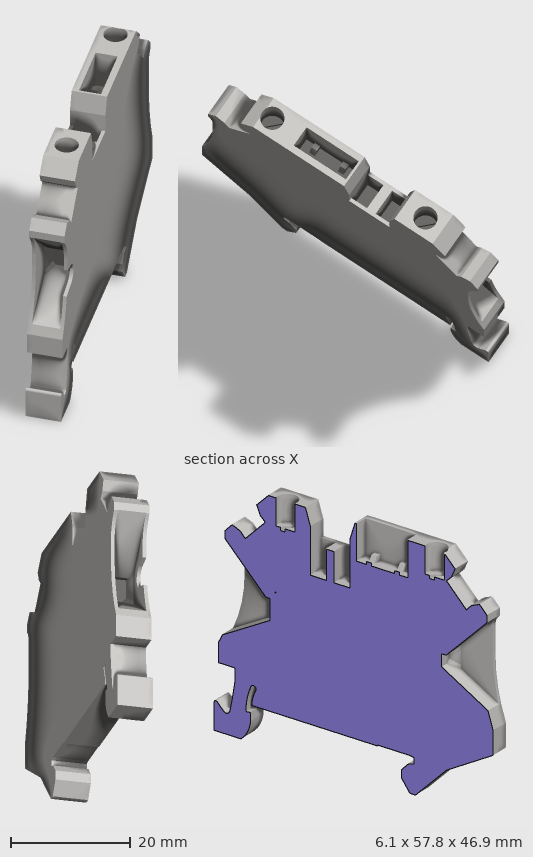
import cadquery as cq
import math


WIDTH = 6.1
HALF_WIDTH = WIDTH / 2
HALF_HEIGHT = 46.9 / 2
TOP = HALF_HEIGHT
BOTTOM = -HALF_HEIGHT
REAR_Y = 28.9
FRONT_Y = -28.9
UPPER_CENTRE_Y = 0.45

HEAD_HALF_LENGTH = 18.1
BRIDGE_FRONT_Y = -8.9
BRIDGE_REAR_Y = -0.8
BRIDGE_FLOOR_Z = 16.95
BRIDGE_FLARE_Z = 20.2
BRIDGE_FLARE_RUN = 1.05
LIP_REACH = 27.15
LIP_UNDERSIDE_Z = 12.8
FLANK_ARC_TOP_Z = 5.55
REAR_FLANK_Y = 26.7
FRONT_FLANK_Y = -24.75
FRONT_SHOULDER_Y = -28.0
SHOULDER_Z = -6.75
FRONT_LEDGE_Z = -10.65

RAIL_Z = -16.6
ARM_OUTER_Y = -24.55
HOOK_INNER_Y = -21.25

WALL = 0.65
CAVITY_HALF_WIDTH = HALF_WIDTH - WALL
SCREW_YS = (16.75, -14.1)
SCREW_HOLE_DIAMETER = 4.05
SCREW_HOLE_DEPTH = 5.2
SCREW_SLOT_WIDTH = 0.65
SCREW_SLOT_DEPTH = 0.6
SCREW_SLOT_ANGLE = -45

TEST_POCKET_REAR_Y = 11.15
TEST_POCKET_FRONT_Y = 0.65
TEST_POCKET_WIDTH = 3.8
TEST_POCKET_DEPTH = 6.95
CONTACT_YS = (8.95, 3.2)
CONTACT_LENGTH = 1.1
CONTACT_HEIGHT = 1.15
CONTACT_GAP = 0.5
CONTACT_SLOPE_RUN = 0.7

BRIDGE_POCKET_LENGTH = 3.2
BRIDGE_POCKET_DEPTH = 5.8

ENTRY_CEILING_Z = 12.85
THROAT_START = 19.6
THROAT_END = 17.8
THROAT_ROOF_Z = 4.35
THROAT_HALF_WIDTH = 1.55
THROAT_CORNER_RISE = 0.7
THROAT_START_CORNER = 0.1
THROAT_END_CORNER = 0.7
ENTRY_FLOOR_SLOPE = 0.56
FRONT_ENTRY_EDGE = (-27.2, -5.2)
REAR_ENTRY_EDGE = (28.0, -3.45)
NOTCH_BOTTOM_Z = 0.35


def upper_corners(side):
    """Corners from the head down to the lip underside; side is +1 (rear) or -1 (front)."""
    corners = [
        (HEAD_HALF_LENGTH, TOP),
        (20.6, 20.9),
        (19.8, 19.2),
        (18.8, 18.2),
        (22.9, 14.05),
        (23.9, 15.15),
        (25.6, 15.85),
        (LIP_REACH, 14.2),
        (LIP_REACH, LIP_UNDERSIDE_Z),
    ]
    return [(UPPER_CENTRE_Y + side * offset, z) for offset, z in corners]


def vertical_arc_middle(tangent, other):
    """Middle of the arc that leaves `tangent` vertically and ends at `other`."""
    run = other[0] - tangent[0]
    rise = other[1] - tangent[1]
    radius = (run**2 + rise**2) / (2 * abs(run))
    half_angle = math.asin(abs(rise) / radius) / 2
    return (
        tangent[0] + math.copysign(radius * (1 - math.cos(half_angle)), run),
        tangent[1] + math.copysign(radius * math.sin(half_angle), rise),
    )


def yz_plane(x):
    """Workplane facing +X whose local axes are Y and Z."""
    return cq.Workplane("YZ", origin=(x, 0, 0))


def housing():
    """Solid housing: the closed outline, drawn rear edge first, extruded across the width."""
    rear_lip_arc = (27.1, 12.2)
    rear_flank_top = (REAR_FLANK_Y, 10.75)
    rear_flank_low = (REAR_FLANK_Y, FLANK_ARC_TOP_Z)
    rear_shoulder = (REAR_Y, SHOULDER_Z)
    front_shoulder = (FRONT_SHOULDER_Y, SHOULDER_Z)
    front_flank_low = (FRONT_FLANK_Y, FLANK_ARC_TOP_Z)
    front_flank_top = (FRONT_FLANK_Y, 7.85)
    front_lip_arc = (-26.0, 11.85)
    arm_bend_low = (-24.75, -13.9)
    arm_bend_top = (ARM_OUTER_Y, -12.0)
    rear_corners = upper_corners(1)
    front_corners = upper_corners(-1)

    profile = yz_plane(-HALF_WIDTH).moveTo(BRIDGE_REAR_Y + BRIDGE_FLARE_RUN, TOP)

    for corner in rear_corners + [rear_lip_arc]:
        profile = profile.lineTo(*corner)
    profile = profile.threePointArc(vertical_arc_middle(rear_flank_top, rear_lip_arc), rear_flank_top)
    profile = profile.lineTo(*rear_flank_low)
    profile = profile.threePointArc(vertical_arc_middle(rear_flank_low, rear_shoulder), rear_shoulder)

    rear_foot = [
        (REAR_Y, -11.4),
        (19.25, -16.95),
        (12.8, BOTTOM),
        (11.6, BOTTOM),
        (9.9, -21.1),
        (9.9, -19.5),
        (11.3, -18.0),
        (12.4, -17.7),
        (12.4, RAIL_Z),
        (11.55, -16.4),
        (4.95, -16.4),
        (4.95, RAIL_Z),
        (-21.15, RAIL_Z),
    ]
    for corner in rear_foot:
        profile = profile.lineTo(*corner)

    profile = (
        profile.threePointArc((-20.85, -14.9), (-20.3, -13.5))
        .threePointArc((-20.65, -12.85), (-21.25, -13.25))
        .threePointArc((-21.95, -15.3), (-22.2, -18.0))
    )

    profile = (
        profile.lineTo(HOOK_INNER_Y, -17.85)
        .lineTo(HOOK_INNER_Y, -19.5)
        .threePointArc((-21.7, -21.15), (-22.55, -22.65))
        .lineTo(-23.3, BOTTOM)
        .lineTo(FRONT_Y, BOTTOM)
        .lineTo(FRONT_Y, -18.15)
        .threePointArc((-28.65, -17.8), (-28.25, -17.85))
        .lineTo(-26.9, -19.25)
        .tangentArcPoint((-25.65, -18.9), relative=False)
        .threePointArc((-25.15, -16.35), arm_bend_low)
        .threePointArc(vertical_arc_middle(arm_bend_top, arm_bend_low), arm_bend_top)
        .lineTo(ARM_OUTER_Y, FRONT_LEDGE_Z)
        .lineTo(FRONT_SHOULDER_Y, FRONT_LEDGE_Z)
        .lineTo(*front_shoulder)
    )

    profile = profile.threePointArc(vertical_arc_middle(front_flank_low, front_shoulder), front_flank_low)
    profile = profile.lineTo(*front_flank_top)
    profile = profile.threePointArc(vertical_arc_middle(front_flank_top, front_lip_arc), front_lip_arc)
    for corner in reversed(front_corners):
        profile = profile.lineTo(*corner)

    bridge = [
        (BRIDGE_FRONT_Y - BRIDGE_FLARE_RUN, TOP),
        (BRIDGE_FRONT_Y, BRIDGE_FLARE_Z),
        (BRIDGE_FRONT_Y, BRIDGE_FLOOR_Z),
        (BRIDGE_REAR_Y, BRIDGE_FLOOR_Z),
        (BRIDGE_REAR_Y, BRIDGE_FLARE_Z),
    ]
    for corner in bridge:
        profile = profile.lineTo(*corner)
    return profile.close().extrude(WIDTH)


def wire_entry(side, floor_edge):
    """Cavity behind one lip; side is +1 (rear) or -1 (front), floor_edge is where the floor starts."""
    edge_y, edge_z = floor_edge
    start_y = UPPER_CENTRE_Y + side * THROAT_START
    end_y = UPPER_CENTRE_Y + side * THROAT_END
    lip_y = UPPER_CENTRE_Y + side * LIP_REACH
    outside_y = side * REAR_Y

    def floor_z(y):
        return edge_z + ENTRY_FLOOR_SLOPE * abs(edge_y - y)

    def ceiling_z(y):
        return ENTRY_CEILING_Z - abs(lip_y - y)

    roof_start = ceiling_z(start_y)
    roof_y = lip_y - side * (ENTRY_CEILING_Z - THROAT_ROOF_Z)
    mouth = (
        yz_plane(-CAVITY_HALF_WIDTH)
        .polyline(
            [
                (start_y, floor_z(start_y)),
                (edge_y, edge_z),
                (outside_y, edge_z),
                (outside_y, ENTRY_CEILING_Z),
                (lip_y, ENTRY_CEILING_Z),
                (start_y, roof_start),
            ]
        )
        .close()
        .extrude(2 * CAVITY_HALF_WIDTH)
    )

    def throat_section(y, half_width, corner_x):
        points = [
            (-half_width, roof_start),
            (-half_width, floor_z(y) + THROAT_CORNER_RISE),
            (corner_x - half_width, floor_z(y)),
            (half_width - corner_x, floor_z(y)),
            (half_width, floor_z(y) + THROAT_CORNER_RISE),
            (half_width, roof_start),
        ]
        return cq.Wire.makePolygon([cq.Vector(x, y, z) for x, z in points], close=True)

    throat = cq.Solid.makeLoft(
        [
            throat_section(start_y, CAVITY_HALF_WIDTH, THROAT_START_CORNER),
            throat_section(end_y, THROAT_HALF_WIDTH, THROAT_END_CORNER),
        ],
        True,
    )
    below_roof = (
        yz_plane(-HALF_WIDTH)
        .polyline(
            [
                (start_y, BOTTOM),
                (start_y, roof_start),
                (roof_y, THROAT_ROOF_Z),
                (end_y, THROAT_ROOF_Z),
                (end_y, BOTTOM),
            ]
        )
        .close()
        .extrude(WIDTH)
    )
    return mouth.union(below_roof.intersect(cq.Workplane(throat)))


def side_notch():
    """Rounded notch in the front edge of the +X wall, beside the front wire entry."""
    return (
        yz_plane(CAVITY_HALF_WIDTH)
        .moveTo(FRONT_Y, FLANK_ARC_TOP_Z)
        .lineTo(FRONT_FLANK_Y, FLANK_ARC_TOP_Z)
        .lineTo(-22.3, 4.95)
        .threePointArc((-21.4, 4.2), (-21.0, 3.0))
        .threePointArc((-21.5, 1.7), (-23.05, 1.0))
        .lineTo(-25.5, NOTCH_BOTTOM_Z)
        .lineTo(FRONT_Y, NOTCH_BOTTOM_Z)
        .close()
        .extrude(WALL)
    )


def screw_hole(y):
    """Hole down to a screw head, with the driver slot in the head."""
    floor_z = TOP - SCREW_HOLE_DEPTH
    hole = (
        cq.Workplane("XY", origin=(0, y, floor_z))
        .circle(SCREW_HOLE_DIAMETER / 2)
        .extrude(SCREW_HOLE_DEPTH)
    )
    slot_bar = (
        cq.Workplane("XY", origin=(0, y, floor_z - SCREW_SLOT_DEPTH))
        .transformed(rotate=(0, 0, SCREW_SLOT_ANGLE))
        .rect(2 * SCREW_HOLE_DIAMETER, SCREW_SLOT_WIDTH)
        .extrude(SCREW_SLOT_DEPTH)
    )
    slot_limit = (
        cq.Workplane("XY", origin=(0, y, floor_z - SCREW_SLOT_DEPTH))
        .circle(SCREW_HOLE_DIAMETER / 2)
        .extrude(SCREW_SLOT_DEPTH)
    )
    return hole.union(slot_bar.intersect(slot_limit))


def box_pocket(width, front_y, rear_y, top_z, depth):
    """Box-shaped pocket, centred on X = 0, reaching down from top_z."""
    length = rear_y - front_y
    box = cq.Workplane("XY").box(width, length, depth, centered=(True, False, False))
    return box.translate((0, front_y, top_z - depth))


def contact_jaws(y):
    """Pair of jaws on the test pocket floor, sloping down to a central gap."""
    floor_z = TOP - TEST_POCKET_DEPTH
    gap_x = CONTACT_GAP / 2
    left_jaw = (
        cq.Workplane("XZ", origin=(0, y + CONTACT_LENGTH / 2, 0))
        .polyline(
            [
                (-TEST_POCKET_WIDTH / 2, floor_z),
                (-gap_x, floor_z),
                (-gap_x - CONTACT_SLOPE_RUN, floor_z + CONTACT_HEIGHT),
                (-TEST_POCKET_WIDTH / 2, floor_z + CONTACT_HEIGHT),
            ]
        )
        .close()
        .extrude(CONTACT_LENGTH)
    )
    return left_jaw.union(left_jaw.mirror("YZ"))


def test_pocket():
    """Rectangular test pocket with the contact jaws left standing in it."""
    pocket = box_pocket(
        TEST_POCKET_WIDTH, TEST_POCKET_FRONT_Y, TEST_POCKET_REAR_Y, TOP, TEST_POCKET_DEPTH
    )
    for y in CONTACT_YS:
        pocket = pocket.cut(contact_jaws(y))
    return pocket


def bridge_pockets():
    """Two pockets at the ends of the bridge gap floor, leaving a rib between them."""
    width = 2 * CAVITY_HALF_WIDTH
    rear = box_pocket(
        width, BRIDGE_REAR_Y - BRIDGE_POCKET_LENGTH, BRIDGE_REAR_Y, BRIDGE_FLOOR_Z, BRIDGE_POCKET_DEPTH
    )
    front = box_pocket(
        width, BRIDGE_FRONT_Y, BRIDGE_FRONT_Y + BRIDGE_POCKET_LENGTH, BRIDGE_FLOOR_Z, BRIDGE_POCKET_DEPTH
    )
    return rear.union(front)


result = housing()
result = result.cut(wire_entry(-1, FRONT_ENTRY_EDGE))
result = result.cut(wire_entry(1, REAR_ENTRY_EDGE))
result = result.cut(side_notch())
for screw_y in SCREW_YS:
    result = result.cut(screw_hole(screw_y))
result = result.cut(test_pocket())
result = result.cut(bridge_pockets())